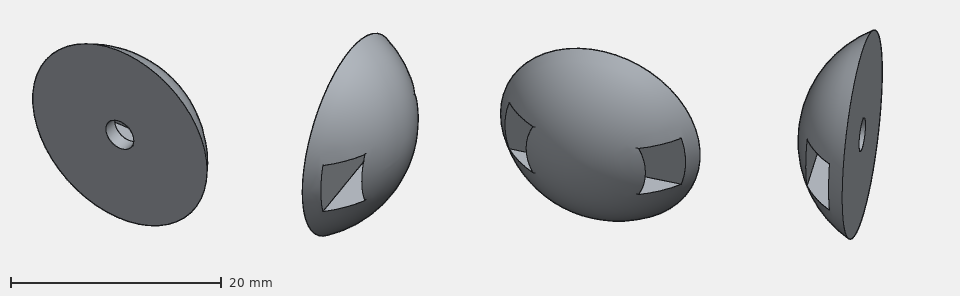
import cadquery as cq

base_diameter = 20.0
dome_height = 6.0

slot_start = 1.5
slot_depth = 2.8
slot_height = 5.5

hole_diameter = 3.2

base_radius = base_diameter / 2
sphere_radius = (base_radius**2 + dome_height**2) / (2 * dome_height)
sphere_center_y = dome_height - sphere_radius


def make_dome():
    """Revolve half of the cap section about the Y axis."""
    middle_y = dome_height / 2
    middle_radius = (sphere_radius**2 - (middle_y - sphere_center_y) ** 2) ** 0.5
    return (
        cq.Workplane("XY")
        .lineTo(base_radius, 0)
        .threePointArc((middle_radius, middle_y), (0, dome_height))
        .close()
        .revolve(360, (0, 0, 0), (0, 1, 0))
    )


def make_slot():
    slot_center_y = slot_start + slot_depth / 2
    return (
        cq.Workplane("XY")
        .box(base_diameter, slot_depth, slot_height)
        .translate((0, slot_center_y, 0))
    )


def make_hole():
    return cq.Workplane("XZ").circle(hole_diameter / 2).extrude(-slot_start)


result = make_dome().cut(make_slot()).cut(make_hole())